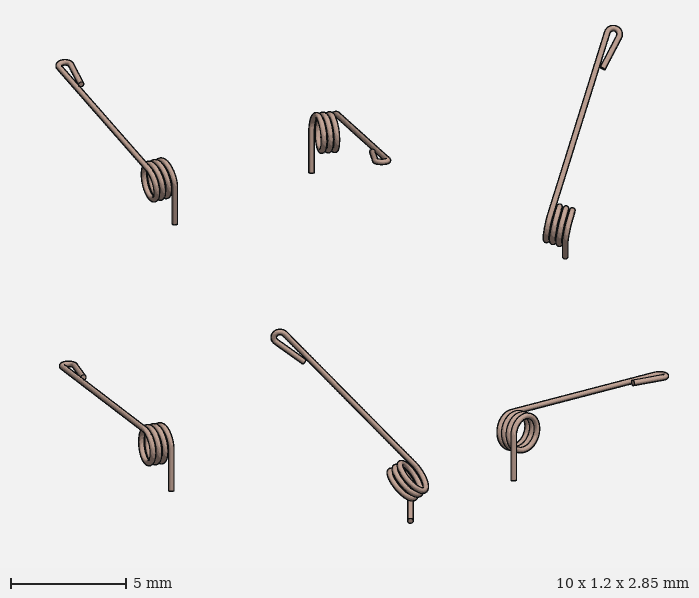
import cadquery as cq
import math

wire_diameter = 0.25
overall_length = 10.0
overall_width = 1.2
overall_height = 2.85
coil_outer_diameter = 1.8
coil_turns = 3.25
hook_outer_radius = 0.4
hook_tail_slope = math.radians(10)
hook_tail_length = 1.58

wire_radius = wire_diameter / 2
coil_radius = coil_outer_diameter / 2 - wire_radius
coil_center_x = overall_length - coil_outer_diameter / 2
coil_depth = overall_width - wire_diameter
coil_pitch = coil_depth / coil_turns
short_leg_length = overall_height - coil_outer_diameter / 2
hook_radius = hook_outer_radius - wire_radius


def straight_wire(start, direction, length):
    """Round wire running from start along direction."""
    return cq.Workplane(cq.Solid.makeCylinder(wire_radius, length, cq.Vector(*start), cq.Vector(*direction)))


def make_coil():
    """Helix about +Y, starting at the top and turning toward +X."""
    helix = cq.Wire.makeHelix(coil_pitch, coil_depth, coil_radius)
    coil_plane = cq.Plane(origin=(coil_center_x, 0, -coil_radius), xDir=(0, 0, 1), normal=(0, 1, 0))
    path = cq.Workplane(helix.moved(cq.Location(coil_plane)))
    return (
        cq.Workplane("YZ", origin=(coil_center_x, 0, 0))
        .circle(wire_radius)
        .sweep(path, isFrenet=True)
    )


def make_hook():
    """Bend at the free end of the long arm, closed by a tail sloping back to the arm."""
    bend_angle = math.pi + hook_tail_slope
    bend = (
        cq.Workplane("YZ", origin=(hook_outer_radius, 0, 0))
        .circle(wire_radius)
        .revolve(math.degrees(bend_angle), (hook_radius, 0), (hook_radius, -1))
    )
    tail_start = (
        hook_outer_radius + hook_radius * math.sin(hook_tail_slope),
        hook_radius * (1 + math.cos(hook_tail_slope)),
        0,
    )
    tail_direction = (math.cos(hook_tail_slope), -math.sin(hook_tail_slope), 0)
    return bend.union(straight_wire(tail_start, tail_direction, hook_tail_length))


long_arm = straight_wire((hook_outer_radius, 0, 0), (1, 0, 0), coil_center_x - hook_outer_radius)
short_leg = straight_wire((coil_center_x + coil_radius, coil_depth, -coil_radius), (0, 0, -1), short_leg_length)

result = long_arm.union(make_coil()).union(short_leg).union(make_hook())